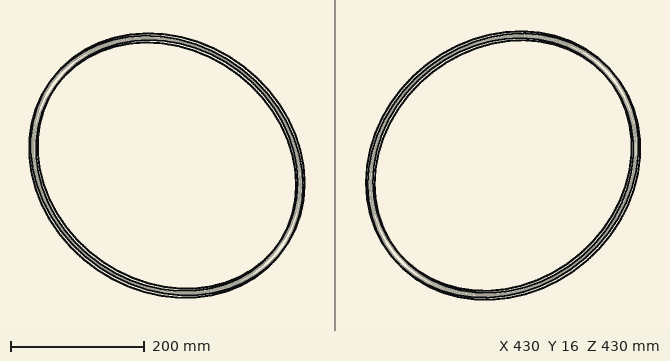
import cadquery as cq

outer_diameter = 430.0
ring_width = 16.0
radial_thickness = 11.0
rim_flat_width = 9.0
taper_drop = 1.5
corner_radius = 1.7

outer_radius = outer_diameter / 2
mean_radius = outer_radius - radial_thickness / 2
half_thickness = radial_thickness / 2
half_width = ring_width / 2
half_flat = rim_flat_width / 2
half_face = half_thickness - taper_drop


def section_points():
    """Octagonal section with sharp corners, placed around the mean radius."""
    upper = [
        (half_thickness, half_flat),
        (half_face, half_width),
        (-half_face, half_width),
        (-half_thickness, half_flat),
    ]
    lower = [(-x, -y) for x, y in upper]
    return [(mean_radius + x, y) for x, y in upper + lower]


ring = (
    cq.Workplane("XY")
    .polyline(section_points())
    .close()
    .revolve(360, (0, 0), (0, 1))
)

result = ring.faces("<Y or >Y").edges("%CIRCLE").fillet(corner_radius)